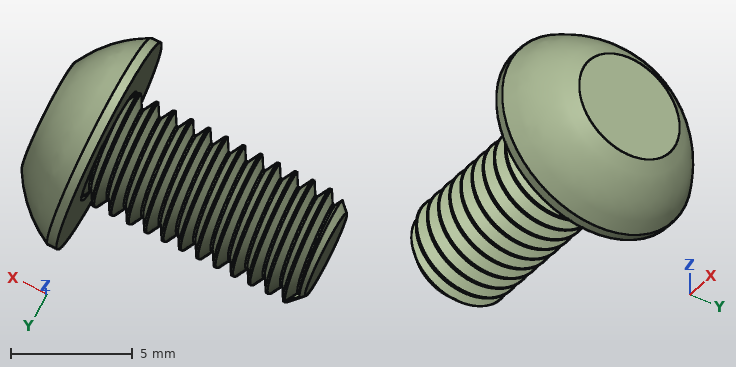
import cadquery as cq
import math

total_length = 12.75

head_diameter = 9.5
head_height = 2.75
rim_height = 0.43
head_end_diameter = 5.02
dome_mid_rise = 1.4
dome_mid_radius = 4.12

shank_length = total_length - head_height
major_diameter = 5.0
root_diameter = 3.97
tip_diameter = 3.8
threads_on_shank = 12.5
thread_pitch = shank_length / threads_on_shank
first_groove_x = 0.25
groove_turns = 13
crest_width = thread_pitch / 8
flank_half_angle = math.radians(30)
blank_length = shank_length + 2 * thread_pitch
groove_overshoot = 0.05


def make_shank_blank():
    """Plain rod with a 45 degree chamfered tip, long enough to hold the whole groove."""
    chamfer = (major_diameter - tip_diameter) / 2
    return (
        cq.Workplane("YZ")
        .circle(major_diameter / 2)
        .extrude(blank_length)
        .faces("<X")
        .chamfer(chamfer)
    )


def make_thread_groove():
    """Right-handed helical groove that starts at the tip and ends inside the head."""
    root_radius = root_diameter / 2
    outer_radius = major_diameter / 2 + groove_overshoot
    crest_half_width = (thread_pitch - crest_width) / 2
    flank_slope = math.tan(flank_half_angle)
    outer_half_width = crest_half_width + groove_overshoot * flank_slope
    root_half_width = outer_half_width - (outer_radius - root_radius) * flank_slope

    helix = cq.Wire.makeHelix(thread_pitch, groove_turns * thread_pitch, root_radius)
    helix_start = cq.Plane(origin=(first_groove_x, 0, 0), xDir=(0, 1, 0), normal=(1, 0, 0))
    path = cq.Workplane(helix.moved(helix_start.location))

    return (
        cq.Workplane("XY")
        .polyline([
            (first_groove_x - outer_half_width, outer_radius),
            (first_groove_x - root_half_width, root_radius),
            (first_groove_x + root_half_width, root_radius),
            (first_groove_x + outer_half_width, outer_radius),
        ])
        .close()
        .sweep(path, isFrenet=True)
    )


def make_head():
    """Short cylindrical rim topped by a dome with a flat end."""
    head_radius = head_diameter / 2
    return (
        cq.Workplane("XY")
        .moveTo(shank_length, 0)
        .lineTo(shank_length, head_radius)
        .lineTo(shank_length + rim_height, head_radius)
        .threePointArc(
            (shank_length + dome_mid_rise, dome_mid_radius),
            (total_length, head_end_diameter / 2),
        )
        .lineTo(total_length, 0)
        .close()
        .revolve(360, (0, 0, 0), (1, 0, 0))
    )


envelope = cq.Workplane("YZ").circle(major_diameter / 2).extrude(blank_length)
threaded_shank = make_shank_blank().cut(make_thread_groove())
result = make_head().cut(envelope).union(threaded_shank)